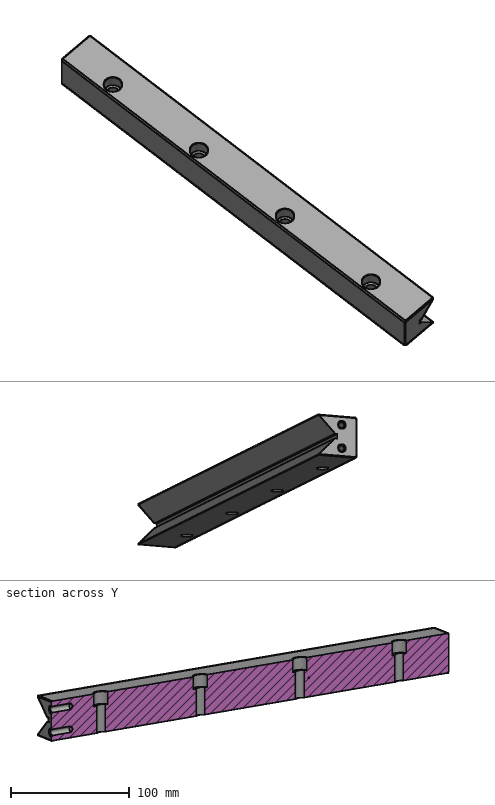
import cadquery as cq
import math

LENGTH = 400.0
DEPTH = 35.0
HEIGHT = 35.0
EDGE_CHAMFER = 1.4
END_CHAMFER = 0.9

LIP_THICKNESS = 0.6
RELIEF_WIDTH = 4.0
RELIEF_FLOOR_Y = 18.0

HOLE_COUNT = 4
HOLE_PITCH = LENGTH / HOLE_COUNT
HOLE_Y = 11.0
HOLE_DIAMETER = 10.0
COUNTERBORE_DIAMETER = 15.0
COUNTERBORE_DEPTH = 11.0
COUNTERBORE_CHAMFER = 0.4

END_HOLE_DIAMETER = 5.0
END_HOLE_DEPTH = 20.0
END_HOLE_CHAMFER = 1.0
DRILL_POINT_ANGLE = 118.0
END_HOLE_Y = 14.0
END_HOLE_SPACING = 20.0


def make_bar():
    """Rectangular bar with chamfered ends and back edges; the +Y face stays sharp."""
    bar = cq.Workplane("XY").box(LENGTH, DEPTH, HEIGHT, centered=(True, False, True))
    bar = bar.faces("<Y").edges("|X").chamfer(EDGE_CHAMFER)
    return bar.faces("<X or >X").edges("not >Y").chamfer(END_CHAMFER)


def make_v_groove():
    """Cutter for the V groove and the relief slot at its root."""
    mouth_half = HEIGHT / 2 - LIP_THICKNESS
    relief_half = RELIEF_WIDTH / 2
    shoulder_y = DEPTH - (mouth_half - relief_half)
    profile = [
        (DEPTH, mouth_half),
        (shoulder_y, relief_half),
        (RELIEF_FLOOR_Y, relief_half),
        (RELIEF_FLOOR_Y, -relief_half),
        (shoulder_y, -relief_half),
        (DEPTH, -mouth_half),
    ]
    return cq.Workplane("YZ").polyline(profile).close().extrude(LENGTH / 2, both=True)


def make_mounting_hole(x):
    """Cutter for one through hole with a chamfered counterbore in the top face."""
    centre = cq.Vector(x, HOLE_Y, HEIGHT / 2)
    down = cq.Vector(0, 0, -1)
    bore_radius = COUNTERBORE_DIAMETER / 2
    rim_radius = bore_radius + COUNTERBORE_CHAMFER
    through = cq.Solid.makeCylinder(HOLE_DIAMETER / 2, HEIGHT, centre, down)
    counterbore = cq.Solid.makeCylinder(bore_radius, COUNTERBORE_DEPTH, centre, down)
    rim = cq.Solid.makeCone(rim_radius, bore_radius, COUNTERBORE_CHAMFER, centre, down)
    return through.fuse(counterbore, rim)


def make_end_hole(z):
    """Cutter for one blind hole in the -X end, with a chamfered rim and a drill-point bottom."""
    centre = cq.Vector(-LENGTH / 2, END_HOLE_Y, z)
    inward = cq.Vector(1, 0, 0)
    radius = END_HOLE_DIAMETER / 2
    rim_radius = radius + END_HOLE_CHAMFER
    tip_depth = radius / math.tan(math.radians(DRILL_POINT_ANGLE / 2))
    bore = cq.Solid.makeCylinder(radius, END_HOLE_DEPTH, centre, inward)
    tip = cq.Solid.makeCone(radius, 0, tip_depth, centre + inward * END_HOLE_DEPTH, inward)
    rim = cq.Solid.makeCone(rim_radius, radius, END_HOLE_CHAMFER, centre, inward)
    return bore.fuse(tip, rim)


result = make_bar().cut(make_v_groove())

first_hole_x = -HOLE_PITCH * (HOLE_COUNT - 1) / 2
for index in range(HOLE_COUNT):
    result = result.cut(make_mounting_hole(first_hole_x + index * HOLE_PITCH))

for side in (-1, 1):
    result = result.cut(make_end_hole(side * END_HOLE_SPACING / 2))